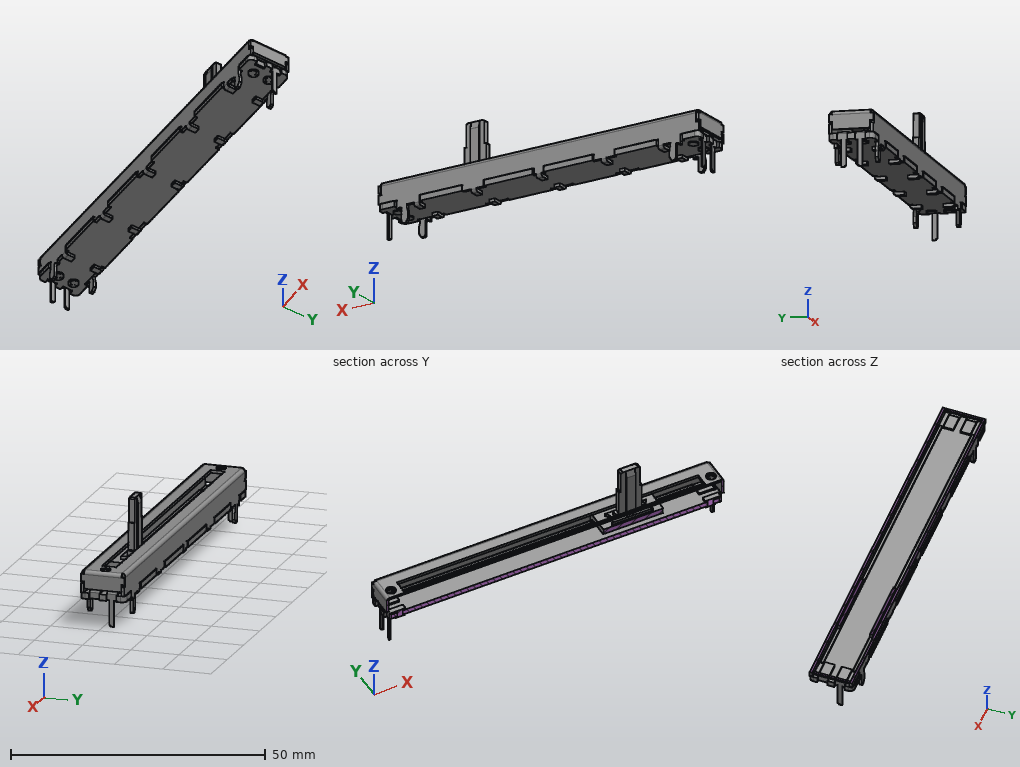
import cadquery as cq


cover_length = 75.0
cover_width = 9.0
sheet = 0.6
bend_radius = 0.75
end_flap_bottom = -3.75
end_ear_bottom = -2.25
side_ear_top = -2.7
seam = 0.1
slot_length = 66.9
slot_width = 2.9
hole_x = 35.55
hole_rim_diameter = 2.0
hole_diameter = 1.6
hole_rim_angle = 45
tab_xs = [-28.6, -15.2, 0.0, 15.2, 28.6]
tab_width = 1.3
tab_thickness = 0.7
tab_bend_radius = 0.6
tab_tip_y = 2.25

leg_x = 32.0
leg_half_width = 1.2
leg_leaf_edge = -0.1
leg_bulge_half = 1.4
leg_tip_half = 0.9
leg_tongue_bottom = -6.6
leg_bulge_top = -7.5
leg_bulge_bottom = -8.85
leg_bottom = -9.7
leg_tip_chamfer = 0.3
leg_relief_diameter = 0.75

outer_window = (17.85, 28.0)
front_middle_window = (2.4, 12.9)
back_middle_window = (1.1, 12.9)
end_window = (leg_x + leg_half_width, cover_length / 2)

base_top = -4.6
base_bottom = -5.85
base_width = 9.3
base_corner_radius = 1.0
outer_lug = (17.85, 27.6)
front_middle_lug = (2.6, 12.7)
back_middle_lug = (1.35, 12.7)
end_lug = (33.7, cover_length / 2)
rail_length = 66.9
rail_width = 0.7
rail_height = 0.3

pin_thickness = 0.4
pin_bend_radius = 0.3
pin_outer_x = 36.9
pin_foot_inner_x = 33.3
pin_foot_y = 1.8
pin_foot_width = 2.2
pin_stem_y = 1.65
pin_stem_width = 1.0
pin_bottom = -11.25
pin_tip_chamfer = 0.4
rivet_x = 34.5
rivet_diameter = 1.2
rivet_head_diameter = 2.1
rivet_head_height = 0.2

slider_x = 17.3
carriage_length = 13.3
carriage_width = 7.5
carriage_top = -2.1
carriage_bottom = -3.45
pad_top = -1.5
pad_length = 9.15
pad_end_sagitta = 0.7
foot_length = 6.5
foot_top = -0.6
lever_thickness = 1.2
lever_length = 5.1
lever_step_z = 4.95
lever_top_length = 4.3
lever_top = 10.0
lever_chamfer_width = 0.45
lever_chamfer_height = 0.2
rib_length = 2.0
rib_width = 1.9
rib_slope_z = 8.55

inner_width = cover_width - 2 * sheet
rail_top = base_top + rail_height


def box(x_min, x_max, y_min, y_max, z_min, z_max):
    size = (x_max - x_min, y_max - y_min, z_max - z_min)
    return cq.Workplane("XY").box(*size, centered=False).translate((x_min, y_min, z_min))


def snap_leg(x_middle, leaf_side):
    """Leg below the front wall, with its leaf on the -X (leaf_side -1) or +X (leaf_side 1) half."""
    relief_end = leg_leaf_edge - leg_relief_diameter
    relief_middle = leg_leaf_edge - leg_relief_diameter / 2
    relief_top = leg_tongue_bottom + leg_relief_diameter / 2
    leg = (
        cq.Workplane("XZ")
        .moveTo(leg_half_width, base_bottom)
        .lineTo(leg_half_width, leg_tongue_bottom)
        .lineTo(leg_bulge_half, leg_bulge_top)
        .lineTo(leg_bulge_half, leg_bulge_bottom)
        .lineTo(leg_tip_half, leg_bottom)
        .lineTo(leg_leaf_edge + leg_tip_chamfer, leg_bottom)
        .lineTo(leg_leaf_edge, leg_bottom + leg_tip_chamfer)
        .lineTo(leg_leaf_edge, leg_tongue_bottom)
        .threePointArc((relief_middle, relief_top), (relief_end, leg_tongue_bottom))
        .lineTo(-leg_half_width, leg_tongue_bottom)
        .lineTo(-leg_half_width, base_bottom)
        .close()
        .extrude(sheet)
    )
    if leaf_side < 0:
        leg = leg.mirror("YZ")
    return leg.translate((x_middle, -inner_width / 2, 0))


def crimp_tab(x):
    """Tab bent from the front wall under the base."""
    tab = box(x - tab_width / 2, x + tab_width / 2, -cover_width / 2, -tab_tip_y,
              base_bottom - tab_thickness, base_bottom)
    return tab.edges("|X and <Y and <Z").fillet(tab_bend_radius)


def both_ends(feature):
    return feature.union(feature.mirror("YZ"))


def both_sides(feature):
    return feature.union(feature.mirror("XZ"))


def make_cover():
    """Folded sheet-metal cover, open below."""
    half_l = cover_length / 2
    half_w = cover_width / 2
    cover = box(-half_l, half_l, -half_w, half_w, base_bottom, 0)
    cover = cover.edges(">Z").fillet(bend_radius)
    cover = cover.cut(box(-half_l + sheet, half_l - sheet, -half_w + sheet, half_w - sheet,
                          base_bottom, -sheet))
    cover = cover.cut(both_ends(box(-half_l, -half_l + sheet, -half_w + sheet, half_w - sheet,
                                    base_bottom, end_flap_bottom)))
    corner = box(-half_l, -half_l + sheet, -half_w, -half_w + sheet, -bend_radius, 0)
    ear_gap = box(-half_l, -half_l + sheet, -half_w, -half_w + sheet, side_ear_top, end_ear_bottom)
    side_gap = box(-half_l + sheet, -half_l + sheet + seam, -half_w, -half_w + sheet, side_ear_top, 0)
    end_gap = box(-half_l, -half_l + sheet, -half_w + sheet, -half_w + sheet + seam,
                  end_flap_bottom, end_ear_bottom)
    for gap in (corner, ear_gap, side_gap, end_gap):
        cover = cover.cut(both_ends(both_sides(gap)))
    for side, middle in ((-1, front_middle_window), (1, back_middle_window)):
        for start, end in (middle, outer_window, end_window):
            wall = sorted((side * half_w, side * (half_w - sheet)))
            cover = cover.cut(both_ends(box(start, end, *wall, base_bottom, base_top)))
    cover = cover.cut(box(-slot_length / 2, slot_length / 2, -slot_width / 2, slot_width / 2, -sheet, 0))
    rim = (hole_rim_diameter - hole_diameter) / 2
    hole = cq.Workplane("XY").center(hole_x, 0).circle(hole_diameter / 2).extrude(-sheet)
    hole = hole.faces(">Z").workplane().circle(hole_rim_diameter / 2).extrude(-rim, taper=hole_rim_angle)
    cover = cover.cut(both_ends(hole))
    for x in tab_xs:
        cover = cover.union(both_sides(crimp_tab(x)))
    front_leg = snap_leg(-leg_x, -1)
    back_leg = snap_leg(-leg_x, 1).mirror("XZ")
    return cover.union(both_ends(front_leg.union(back_leg)))


def make_base():
    """Board that closes the cover from below."""
    half_l = cover_length / 2
    base = box(-half_l, half_l, -inner_width / 2, inner_width / 2, base_bottom, base_top)
    for side, middle in ((-1, front_middle_lug), (1, back_middle_lug)):
        for start, end in (middle, outer_lug, end_lug):
            lug = sorted((side * base_width / 2, 0))
            base = base.union(both_ends(box(start, end, *lug, base_bottom, base_top)))
    base = base.edges("|Z and (<X or >X)").fillet(base_corner_radius)
    rail = box(-rail_length / 2, rail_length / 2, carriage_width / 2 - rail_width, carriage_width / 2,
               base_top, rail_top)
    base = base.union(both_sides(rail))
    notch = box(-half_l, -pin_outer_x + pin_thickness, pin_foot_y - pin_foot_width / 2,
                pin_foot_y + pin_foot_width / 2, base_bottom, base_top)
    hole = (
        cq.Workplane("XY")
        .workplane(offset=base_bottom)
        .center(-rivet_x, pin_foot_y)
        .circle(rivet_diameter / 2)
        .extrude(base_top - base_bottom)
    )
    return base.cut(both_ends(both_sides(notch.union(hole))))


def make_terminal(has_stem):
    """Terminal at the -X end, on the +Y side: a foot on the base, bent down over its end, and a rivet."""
    inner_face_x = -pin_outer_x + pin_thickness
    y_min = pin_foot_y - pin_foot_width / 2
    y_max = pin_foot_y + pin_foot_width / 2
    foot = box(-pin_outer_x, -pin_foot_inner_x, y_min, y_max, base_top, base_top + pin_thickness)
    plate = box(-pin_outer_x, inner_face_x, y_min, y_max, base_bottom, base_top)
    terminal = foot.union(plate)
    terminal = terminal.edges("|Y and <X and >Z").fillet(pin_bend_radius)
    rivet = (
        cq.Workplane("XY")
        .workplane(offset=base_top)
        .center(-rivet_x, pin_foot_y)
        .circle(rivet_diameter / 2)
        .extrude(base_bottom - base_top)
        .faces("<Z")
        .workplane()
        .circle(rivet_head_diameter / 2)
        .extrude(rivet_head_height)
    )
    terminal = terminal.union(rivet)
    if has_stem:
        stem = box(-pin_outer_x, inner_face_x, pin_stem_y - pin_stem_width / 2,
                   pin_stem_y + pin_stem_width / 2, pin_bottom, base_bottom)
        stem = stem.edges("|X and <Y and <Z").chamfer(pin_tip_chamfer)
        terminal = terminal.union(stem)
    return terminal


def make_slider():
    """Carriage that rides on the rails, with a pad under the slot and a stepped lever through it."""
    half_l = carriage_length / 2
    half_w = carriage_width / 2
    slider = box(-half_l, half_l, -half_w, half_w, carriage_bottom, carriage_top)
    skirt = box(-half_l, half_l, half_w - rail_width, half_w, rail_top, carriage_bottom)
    slider = slider.union(both_sides(skirt))

    pad_x = pad_length / 2
    pad_y = slot_width / 2
    pad = (
        cq.Workplane("XY")
        .workplane(offset=carriage_top)
        .moveTo(-pad_x, -pad_y)
        .lineTo(pad_x, -pad_y)
        .threePointArc((pad_x - pad_end_sagitta, 0), (pad_x, pad_y))
        .lineTo(-pad_x, pad_y)
        .threePointArc((-pad_x + pad_end_sagitta, 0), (-pad_x, -pad_y))
        .close()
        .extrude(pad_top - carriage_top)
    )
    slider = slider.union(pad)

    lever_y = lever_thickness / 2
    steps = [
        (foot_length, pad_top, foot_top),
        (lever_length, foot_top, lever_step_z),
        (lever_top_length, lever_step_z, lever_top),
    ]
    for length, bottom, top in steps:
        slider = slider.union(box(-length / 2, length / 2, -lever_y, lever_y, bottom, top))
    slider = slider.edges("|Y and >Z").chamfer(lever_chamfer_height, lever_chamfer_width)

    rib_y = rib_width / 2
    rib_profile = [
        (-rib_y, pad_top),
        (rib_y, pad_top),
        (rib_y, rib_slope_z),
        (lever_y, lever_top),
        (-lever_y, lever_top),
        (-rib_y, rib_slope_z),
    ]
    rib = cq.Workplane("YZ").polyline(rib_profile).close().extrude(rib_length / 2, both=True)
    return slider.union(rib).translate((slider_x, 0, 0))


cover = make_cover()
base = make_base()
slider = make_slider()
pin_terminal = make_terminal(has_stem=True)
stemless_terminal = make_terminal(has_stem=False)
terminals = [
    pin_terminal,
    pin_terminal.mirror("XZ"),
    pin_terminal.mirror("YZ"),
    stemless_terminal.mirror("XZ").mirror("YZ"),
]

result = cq.Compound.makeCompound(
    [cover.val(), base.val(), slider.val(), *[terminal.val() for terminal in terminals]]
)